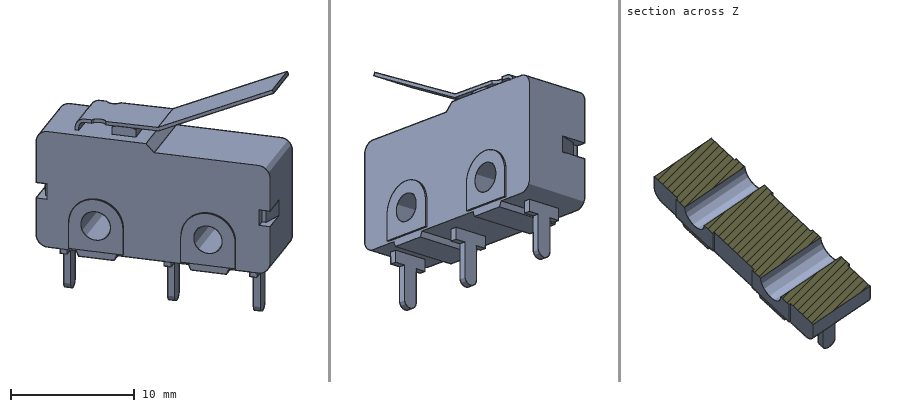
import cadquery as cq
import math

HOUSING_LENGTH = 19.8
HOUSING_WIDTH = 6.06
HOUSING_HEIGHT = 10.15
LOW_END_HEIGHT = 9.45
STEP_TOP_X = 9.3
CORNER_RADIUS = 1.0

HOLE_Z = 2.46
LEFT_HOLE_X = 5.1
HOLE_SPACING = 9.5
LEFT_HOLE_DIAMETER = 2.5
RIGHT_HOLE_DIAMETER = 2.4
PAD_RADIUS = 2.3
PAD_BOTTOM_Z = 0.2
OVERALL_WIDTH = 6.4
FOOT_TOP_LENGTH = 3.4
FOOT_BOTTOM_LENGTH = 3.0
FOOT_HEIGHT = 0.46

NOTCH_DEPTH = 0.92
NOTCH_BOTTOM_Z = 4.2
NOTCH_TOP_Z = 5.55
RAMP_START_Y = -0.6
RAMP_END_Y = -2.27
RAMP_DEPTH = 0.57

TERMINAL_POSITIONS = (1.88, 10.68, 17.93)
TERMINAL_THICKNESS = 0.6
SHOULDER_WIDTH = 3.2
SHOULDER_DEPTH = 1.04
PIN_WIDTH = 1.3
TERMINAL_DEPTH = 4.6

PLUNGER_X = 7.12
PLUNGER_LENGTH = 2.0
PLUNGER_WIDTH = 4.0
PLUNGER_EDGE_Z = 10.8
PLUNGER_CROWN_Z = 11.0

LEVER_WIDTH = 4.06
LEVER_THICKNESS = 0.3
LEVER_LEFT_X = 3.0
LEVER_ROOT_DEPTH = 0.5
LEVER_FLAT_TOP_Z = 11.2
LEVER_OUTER_RADIUS = 0.82
LEVER_BEND_X = 10.0
LEVER_BEND_TOP_Z = 11.26
LEVER_TIP_Z = 15.77
LEVER_RISE_ANGLE = 25.0
LEVER_NOTCH_X = 5.0
LEVER_NOTCH_RADIUS = 0.7
LEVER_NOTCH_DEPTH = 0.35


def extrude_across(profile, width):
    """Extrude an XZ profile to a width centred on Y = 0."""
    return profile.extrude(width / 2, both=True)


def make_housing():
    step_drop = HOUSING_HEIGHT - LOW_END_HEIGHT
    profile = (
        cq.Workplane("XZ")
        .polyline([
            (0, 0),
            (HOUSING_LENGTH, 0),
            (HOUSING_LENGTH, LOW_END_HEIGHT),
            (STEP_TOP_X + step_drop, LOW_END_HEIGHT),
            (STEP_TOP_X, HOUSING_HEIGHT),
            (0, HOUSING_HEIGHT),
        ])
        .close()
    )
    block = extrude_across(profile, HOUSING_WIDTH)
    return block.edges("|Y and (<X or >X)").fillet(CORNER_RADIUS)


def make_pad(hole_x):
    pad = (
        cq.Workplane("XZ")
        .moveTo(hole_x - PAD_RADIUS, PAD_BOTTOM_Z)
        .lineTo(hole_x + PAD_RADIUS, PAD_BOTTOM_Z)
        .lineTo(hole_x + PAD_RADIUS, HOLE_Z)
        .threePointArc((hole_x, HOLE_Z + PAD_RADIUS), (hole_x - PAD_RADIUS, HOLE_Z))
        .close()
    )
    return extrude_across(pad, OVERALL_WIDTH)


def make_foot(hole_x):
    foot = (
        cq.Workplane("XZ")
        .polyline([
            (hole_x - FOOT_TOP_LENGTH / 2, 0),
            (hole_x - FOOT_BOTTOM_LENGTH / 2, -FOOT_HEIGHT),
            (hole_x + FOOT_BOTTOM_LENGTH / 2, -FOOT_HEIGHT),
            (hole_x + FOOT_TOP_LENGTH / 2, 0),
        ])
        .close()
    )
    return extrude_across(foot, HOUSING_WIDTH)


def make_hole(hole_x, diameter):
    hole = cq.Workplane("XZ").center(hole_x, HOLE_Z).circle(diameter / 2)
    return extrude_across(hole, OVERALL_WIDTH)


def make_left_notch():
    """Slot open to the end and front, deepening along a ramp to a final step."""
    front_y = -HOUSING_WIDTH / 2
    return (
        cq.Workplane("XY", origin=(0, 0, NOTCH_BOTTOM_Z))
        .polyline([
            (0, RAMP_START_Y),
            (RAMP_DEPTH, RAMP_END_Y),
            (NOTCH_DEPTH, RAMP_END_Y),
            (NOTCH_DEPTH, front_y),
            (0, front_y),
        ])
        .close()
        .extrude(NOTCH_TOP_Z - NOTCH_BOTTOM_Z)
    )


def make_terminal(terminal_x):
    """Flat blade with wide shoulders and a fully rounded pin tip."""
    pin_half = PIN_WIDTH / 2
    shoulder_half = SHOULDER_WIDTH / 2
    tip_start_z = pin_half - TERMINAL_DEPTH
    return (
        cq.Workplane("YZ", origin=(terminal_x, 0, 0))
        .moveTo(-shoulder_half, 0)
        .lineTo(-shoulder_half, -SHOULDER_DEPTH)
        .lineTo(-pin_half, -SHOULDER_DEPTH)
        .lineTo(-pin_half, tip_start_z)
        .threePointArc((0, -TERMINAL_DEPTH), (pin_half, tip_start_z))
        .lineTo(pin_half, -SHOULDER_DEPTH)
        .lineTo(shoulder_half, -SHOULDER_DEPTH)
        .lineTo(shoulder_half, 0)
        .close()
        .extrude(TERMINAL_THICKNESS / 2, both=True)
    )


def make_plunger():
    left_x = PLUNGER_X - PLUNGER_LENGTH / 2
    right_x = PLUNGER_X + PLUNGER_LENGTH / 2
    profile = (
        cq.Workplane("XZ")
        .moveTo(left_x, LOW_END_HEIGHT)
        .lineTo(right_x, LOW_END_HEIGHT)
        .lineTo(right_x, PLUNGER_EDGE_Z)
        .threePointArc((PLUNGER_X, PLUNGER_CROWN_Z), (left_x, PLUNGER_EDGE_Z))
        .close()
    )
    return extrude_across(profile, PLUNGER_WIDTH)


def make_lever():
    rise = math.radians(LEVER_RISE_ANGLE)
    arm_run = (LEVER_TIP_Z - LEVER_BEND_TOP_Z) / math.tan(rise)
    tip_x = LEVER_BEND_X + arm_run
    bend_shift = LEVER_THICKNESS * math.tan(rise / 2)
    root_z = HOUSING_HEIGHT - LEVER_ROOT_DEPTH
    inner_x = LEVER_LEFT_X + LEVER_THICKNESS
    flat_start_x = LEVER_LEFT_X + LEVER_OUTER_RADIUS
    arc_centre_z = LEVER_FLAT_TOP_Z - LEVER_OUTER_RADIUS
    inner_radius = LEVER_OUTER_RADIUS - LEVER_THICKNESS
    outer_diagonal = LEVER_OUTER_RADIUS * math.sqrt(0.5)
    inner_diagonal = inner_radius * math.sqrt(0.5)
    profile = (
        cq.Workplane("XZ")
        .moveTo(LEVER_LEFT_X, root_z)
        .lineTo(LEVER_LEFT_X, arc_centre_z)
        .threePointArc(
            (flat_start_x - outer_diagonal, arc_centre_z + outer_diagonal),
            (flat_start_x, LEVER_FLAT_TOP_Z),
        )
        .lineTo(LEVER_BEND_X, LEVER_BEND_TOP_Z)
        .lineTo(tip_x, LEVER_TIP_Z)
        .lineTo(tip_x + LEVER_THICKNESS * math.sin(rise), LEVER_TIP_Z - LEVER_THICKNESS * math.cos(rise))
        .lineTo(LEVER_BEND_X + bend_shift, LEVER_BEND_TOP_Z - LEVER_THICKNESS)
        .lineTo(flat_start_x, LEVER_FLAT_TOP_Z - LEVER_THICKNESS)
        .threePointArc(
            (flat_start_x - inner_diagonal, arc_centre_z + inner_diagonal),
            (inner_x, arc_centre_z),
        )
        .lineTo(inner_x, root_z)
        .close()
    )
    notch_centre_y = LEVER_WIDTH / 2 + LEVER_NOTCH_RADIUS - LEVER_NOTCH_DEPTH
    edge_notches = (
        cq.Workplane("XY", origin=(LEVER_NOTCH_X, 0, HOUSING_HEIGHT))
        .pushPoints([(0, -notch_centre_y), (0, notch_centre_y)])
        .circle(LEVER_NOTCH_RADIUS)
        .extrude(LEVER_BEND_TOP_Z - HOUSING_HEIGHT)
    )
    return extrude_across(profile, LEVER_WIDTH).cut(edge_notches)


mounting_holes = (
    (LEFT_HOLE_X, LEFT_HOLE_DIAMETER),
    (LEFT_HOLE_X + HOLE_SPACING, RIGHT_HOLE_DIAMETER),
)
left_notch = make_left_notch()
right_notch = left_notch.mirror("YZ").translate((HOUSING_LENGTH, 0, 0))

result = make_housing().cut(left_notch).cut(right_notch)
for hole_x, hole_diameter in mounting_holes:
    result = result.union(make_pad(hole_x)).union(make_foot(hole_x))
    result = result.cut(make_hole(hole_x, hole_diameter))
for terminal_x in TERMINAL_POSITIONS:
    result = result.union(make_terminal(terminal_x))
result = result.union(make_plunger()).union(make_lever())